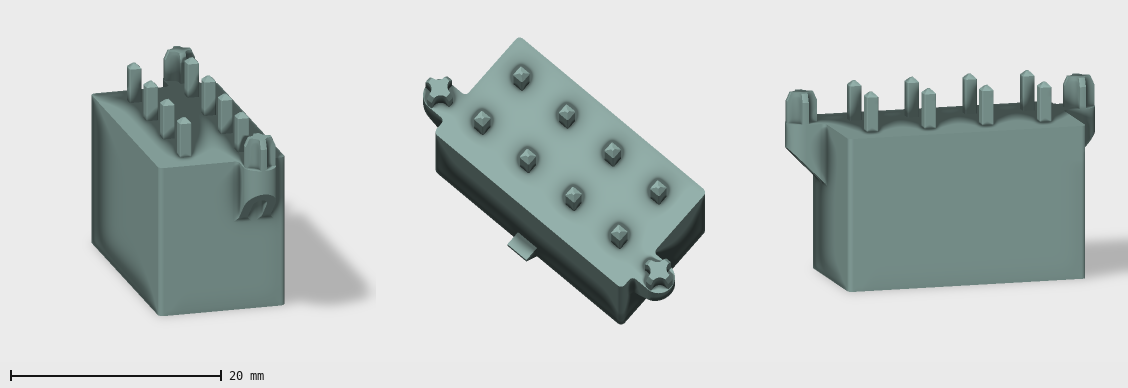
import cadquery as cq
body_x = 23.48
body_y = 12.47
body_z = 14.8
corner_radius = 0.5

latch_width = 2.38
latch_reach = 1.55
latch_top = 3.23
latch_lip = 0.58

overall_x = 30.5
ear_radius = 1.55
ear_y = 3.1
ear_x = overall_x / 2 - ear_radius
ear_tip_height = 2.35
ear_wall = 0.85
slot_ceiling = body_z - ear_wall
ear_root_radius = 0.43
ear_root_x = body_x / 2 - corner_radius

peg_radius = 1.5
peg_top = 17.7
peg_arm_width = 0.6
peg_flute_radius = 0.8
peg_taper_run = 0.37
peg_taper_height = 0.82

pin_columns = 4
pin_rows = 2
pin_pitch = 5.7
pin_width = 1.15
pin_top = 18.57
pin_edge_radius = 0.12
pin_tip_chamfer = 0.45


def housing():
    block = cq.Workplane("XY").box(body_x, body_y, body_z, centered=(True, True, False))
    return block.edges("|Z").fillet(corner_radius)


def latch():
    face_y = body_y / 2
    root_y = face_y - corner_radius
    tip_y = face_y + latch_reach
    return (
        cq.Workplane("YZ")
        .moveTo(root_y, 0)
        .lineTo(face_y, 0)
        .lineTo(tip_y, latch_top - latch_lip)
        .lineTo(tip_y, latch_top)
        .lineTo(root_y, latch_top)
        .close()
        .extrude(latch_width / 2, both=True)
    )


def ear_outline(radius):
    """Round-ended tab on the +X end, starting inside the housing."""
    return (
        cq.Workplane("XY", origin=(0, ear_y, 0))
        .moveTo(ear_root_x, -radius)
        .lineTo(ear_x, -radius)
        .threePointArc((ear_x + radius, 0), (ear_x, radius))
        .lineTo(ear_root_x, radius)
        .close()
    )


def ear():
    """Hollow ear on the +X end, its underside sloping at 45 degrees up to the tip."""
    tip_x = overall_x / 2
    slope_top = body_z - ear_tip_height
    profile = (
        cq.Workplane("XZ")
        .moveTo(ear_root_x, body_z)
        .lineTo(tip_x, body_z)
        .lineTo(tip_x, slope_top)
        .lineTo(ear_root_x, slope_top - (tip_x - ear_root_x))
        .close()
        .extrude(body_y, both=True)
    )
    solid = ear_outline(ear_radius).extrude(body_z).intersect(profile)
    slot = ear_outline(ear_radius - ear_wall).extrude(slot_ceiling)
    return solid.cut(slot)


def ear_root_edges():
    """Selector for the edges where the +X ear meets the housing, below the slot ceiling."""
    margin = ear_wall / 2
    face_x = body_x / 2
    return cq.selectors.BoxSelector(
        (face_x - margin, ear_y - ear_radius - margin, 0),
        (face_x + margin, ear_y + ear_radius + margin, slot_ceiling - margin),
    )


def peg():
    """Tapered round post on the +X ear with four concave flutes between its arms."""
    flute_centre = peg_arm_width / 2 + peg_flute_radius
    height = peg_top - body_z
    post = cq.Workplane("XY").circle(peg_radius).extrude(height)
    post = post.faces(">Z").chamfer(peg_taper_height, peg_taper_run)
    flute = (
        cq.Workplane("XY")
        .moveTo(peg_arm_width / 2, flute_centre)
        .radiusArc((flute_centre, peg_arm_width / 2), -peg_flute_radius)
        .lineTo(2 * peg_radius, peg_arm_width / 2)
        .lineTo(2 * peg_radius, 2 * peg_radius)
        .lineTo(peg_arm_width / 2, 2 * peg_radius)
        .close()
        .extrude(height)
    )
    for quarter in range(4):
        post = post.cut(flute.rotate((0, 0, 0), (0, 0, 1), 90 * quarter))
    return post.translate((ear_x, ear_y, body_z))


def pin():
    """Square pin with rounded edges and a flattened pyramid tip."""
    height = pin_top - body_z
    bar = cq.Workplane("XY").box(pin_width, pin_width, height, centered=(True, True, False))
    pointed = bar.faces(">Z").chamfer(pin_tip_chamfer)
    return bar.edges("|Z").fillet(pin_edge_radius).intersect(pointed)


ended_housing = housing().union(ear()).edges(ear_root_edges()).fillet(ear_root_radius).union(peg())
result = ended_housing.union(ended_housing.mirror("YZ")).union(latch())

for column in range(pin_columns):
    for row in range(pin_rows):
        pin_x = (column - (pin_columns - 1) / 2) * pin_pitch
        pin_y = (row - (pin_rows - 1) / 2) * pin_pitch
        result = result.union(pin().translate((pin_x, pin_y, body_z)))